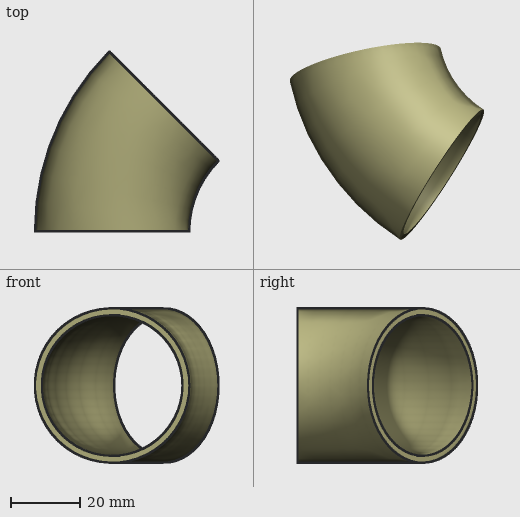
import cadquery as cq

outer_diameter = 44.5
wall_thickness = 2.0
bend_radius = 51.0
bend_angle = 45

outer_radius = outer_diameter / 2
inner_radius = outer_radius - wall_thickness

ring = cq.Workplane("XZ").circle(outer_radius).circle(inner_radius)

axis_start = (bend_radius, 0)
axis_end = (bend_radius, -1)
result = ring.revolve(bend_angle, axis_start, axis_end)